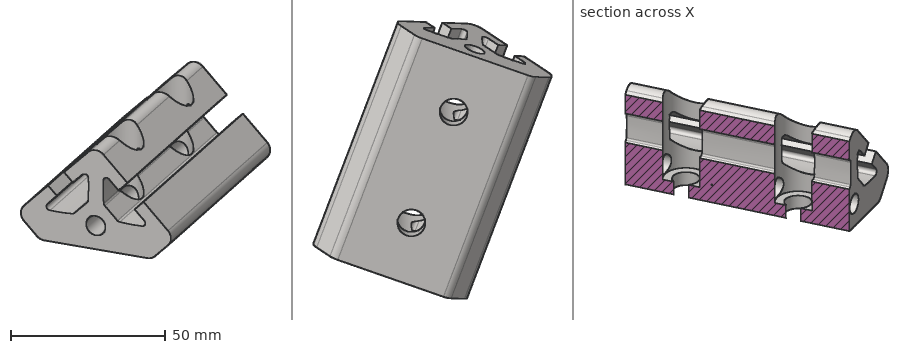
import cadquery as cq
import math

length = 80.0
width = 53.2
height = 35.0
outer_radius = 3.8

slot_opening = 8.0
lip_thickness = 4.5
web_half_width = 2.8
wall_bow = 0.2
slot_floor_depth = 12.3
mouth_overlap = 0.8
lip_root_radius = 1.2
slot_floor_radius = 1.2

bore_diameter = 6.8
screw_diameter = 9.0
counterbore_diameter = 15.0
counterbore_floor_z = 4.8
screw_spacing = 40.0

tip_trim = outer_radius * (math.sqrt(2) - 1)
apex_z = height + tip_trim
side_x = width / 2 + tip_trim
side_z = apex_z - side_x
base_half_width = side_x - side_z

slot_center_x = side_x / 2
slot_center_z = apex_z - slot_center_x
cavity_bottom_z = slot_center_z - slot_center_x + web_half_width


def flank_point(along, depth):
    """Point on the right flank: distance up the slope from the slot center, depth below the flank."""
    return (
        slot_center_x - (along + depth) / math.sqrt(2),
        slot_center_z + (along - depth) / math.sqrt(2),
    )


def extrude_section(sketch):
    return sketch.extrude(-length)


def make_body():
    outline = [
        (0, apex_z),
        (side_x, side_z),
        (base_half_width, 0),
        (-base_half_width, 0),
        (-side_x, side_z),
    ]
    body = extrude_section(cq.Workplane("XZ").polyline(outline).close())
    return body.edges("|Y").fillet(outer_radius)


def make_slot():
    half = slot_opening / 2
    lip_sum = apex_z - lip_thickness * math.sqrt(2)
    floor_sum = apex_z - slot_floor_depth * math.sqrt(2)
    upper_root = (web_half_width, lip_sum - web_half_width)
    lower_root = (lip_sum - cavity_bottom_z, cavity_bottom_z)
    upper_floor = (web_half_width, floor_sum - web_half_width)
    lower_floor = (floor_sum - cavity_bottom_z, cavity_bottom_z)
    web_middle = (web_half_width - wall_bow, (upper_root[1] + upper_floor[1]) / 2)
    bottom_middle = ((lower_root[0] + lower_floor[0]) / 2, cavity_bottom_z - wall_bow)

    cavity = extrude_section(
        cq.Workplane("XZ")
        .moveTo(*upper_root)
        .threePointArc(web_middle, upper_floor)
        .lineTo(*lower_floor)
        .threePointArc(bottom_middle, lower_root)
        .close()
    )
    cavity = cavity.edges("|Y").edges(">Z or >X").fillet(lip_root_radius)
    for corner_x, corner_z in (upper_floor, lower_floor):
        corner = cq.selectors.NearestToPointSelector((corner_x, length / 2, corner_z))
        cavity = cavity.edges(corner).fillet(slot_floor_radius)
    mouth = extrude_section(
        cq.Workplane("XZ")
        .polyline(
            [
                flank_point(half, -lip_thickness),
                flank_point(half, lip_thickness + mouth_overlap),
                flank_point(-half, lip_thickness + mouth_overlap),
                flank_point(-half, -lip_thickness),
            ]
        )
        .close()
    )
    return cavity.union(mouth)


def vertical_holes(diameter, floor_z):
    return (
        cq.Workplane("XY", origin=(0, length / 2, floor_z))
        .rarray(0.8, screw_spacing, 1, 2)
        .circle(diameter / 2)
        .extrude(apex_z - floor_z)
    )


right_slot = make_slot()
bore = extrude_section(cq.Workplane("XZ").center(0, side_z).circle(bore_diameter / 2))

result = (
    make_body()
    .cut(right_slot)
    .cut(right_slot.mirror("YZ"))
    .cut(bore)
    .cut(vertical_holes(screw_diameter, 0))
    .cut(vertical_holes(counterbore_diameter, counterbore_floor_z))
)